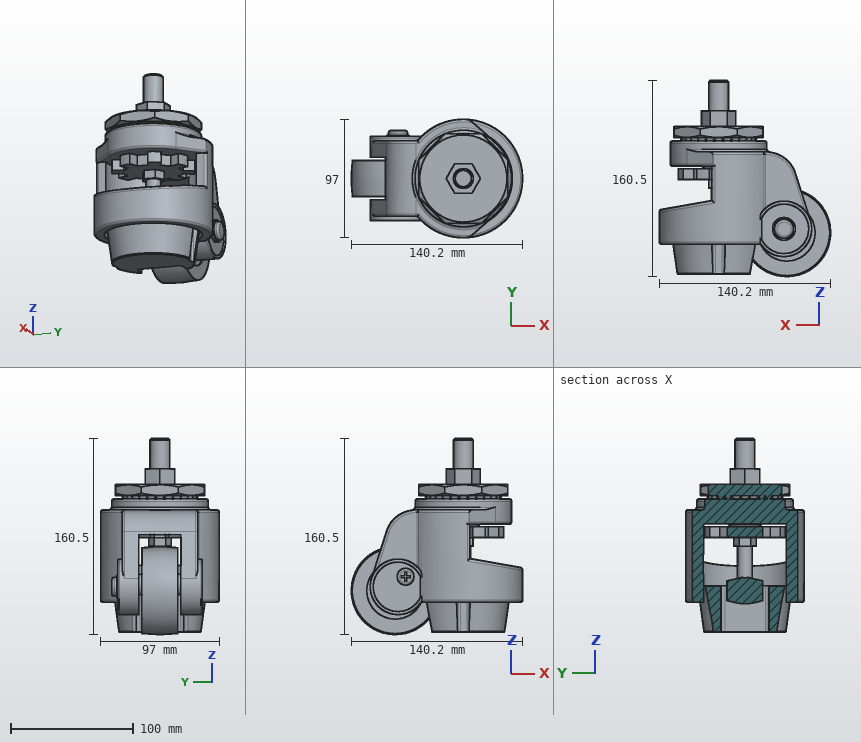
import cadquery as cq
import math


REACH = 120.0
OVERLAP = 1.0

STEM_TOP = 160.5
HEX_TOP = 135.5
FLANGE_TOP = 123.0
FLANGE_BOTTOM = 113.4
DISK_TOP = 111.0
HOUSING_TOP = 102.0
DISK_BOTTOM = 90.3
ADJUSTER_TOP = 88.3
ADJUSTER_BOTTOM = 79.3
SPINDLE_HEX_BOTTOM = 72.3
HOUSING_BOTTOM = 26.5
FOOT_TOP = 40.0
FOOT_BOTTOM = 2.0

OVERALL_LENGTH = 140.16

STEM_RADIUS = 8.15
STEM_CHAMFER = 1.5
HEX_ACROSS_FLATS = 24.3
FLANGE_ACROSS_FLATS = 73.0
FLANGE_FACE_RADIUS = 35.6
FLANGE_CHAMFER_ANGLE = math.radians(30)

DISK_RADIUS = 39.5
DISK_FILLET = 2.0
BALL_COUNT = 24
BALL_RADIUS = 3.5
BALL_RACE_RADIUS = 27.5
BALL_CENTRE_Z = FLANGE_BOTTOM

HOUSING_RADIUS = 48.5
HOUSING_FILLET = 2.0
CAVITY_RADIUS = 40.0
NECK_FILLET = 2.3
NECK_TANGENT_X = 26.0
NECK_CORNER_FILLET = 1.0
WINDOW_X = 5.4
WINDOW_SILL_Z = 62.3
WINDOW_SILL_ANGLE = math.radians(10)
WINDOW_FILLET = 2.3

FORK_HALF_WIDTH = 31.0
FORK_SHOULDER_X = -39.0
FORK_INNER_X = -30.0
FORK_SHOULDER_RADIUS = 25.0
FORK_FILLET = 2.0
FORK_CORNER_FILLET = 2.0
SLOT_HALF_WIDTH = 17.2
SLOT_TOP = 81.9
SLOT_END_X = -12.0
BOSS_X = -53.4
BOSS_Z = 39.1
BOSS_RADIUS = 22.7
BOSS_HALF_WIDTH = 33.4
BOSS_BEAD_RADIUS = 1.25

WHEEL_RADIUS = 36.0
WHEEL_X = HOUSING_RADIUS - OVERALL_LENGTH + WHEEL_RADIUS
WHEEL_HALF_WIDTH = 14.75
WHEEL_EDGE_RADIUS = 35.1
HUB_RADIUS = 23.25
HUB_RECESS = 0.5
SPACER_RADIUS = 8.25
SPACER_Z = 41.0

SCREW_X = -47.2
SCREW_Z = 47.4
SCREW_RADIUS = 6.9
SCREW_FACE_RADIUS = 5.1
SCREW_HEIGHT = 1.2
CROSS_LENGTH = 7.4
CROSS_WIDTH = 1.6
CROSS_DEPTH = 1.0

BOLT_RADIUS = 7.8
BOLT_HEIGHT = 5.9
BOLT_FILLET = 2.0
WASHER_RADIUS = 9.3
WASHER_THICKNESS = 2.1

ADJUSTER_RADIUS = 34.0
ADJUSTER_SLOTS = 8
ADJUSTER_SLOT_FLOOR_RADIUS = 24.5
ADJUSTER_SLOT_FLOOR_HALF = 4.5
ADJUSTER_SLOT_MOUTH_HALF = 7.75
COLLAR_RADIUS = 13.5
COLLAR_LOWER_RADIUS = 11.5
SPINDLE_HEX_FLATS = 16.2
SPINDLE_RADIUS = 6.1

FOOT_BOTTOM_RADIUS = 33.8
FOOT_DRAFT = 0.14
FOOT_EDGE_HEIGHT = 1.0
FOOT_EDGE_WIDTH = 0.4
FOOT_NOTCH_HALF = 19.5
FOOT_NOTCH_MOUTH_FILLET = 1.9
FOOT_NOTCH_FLOOR_FILLET = 2.8
FOOT_NOTCH_X = -13.0
GROOVE_FLOOR_Y = 31.8
GROOVE_FLOOR_HALF = 4.15
GROOVE_FILLET = 2.0
GROOVE_FLARE = 0.3


def region(x_range, y_range=(-REACH, REACH), z_range=(-REACH, 2 * REACH)):
    """Selector for items whose centre lies within the given limits."""
    low, high = zip(x_range, y_range, z_range)
    return cq.selectors.BoxSelector(low, high)


def cylinder(radius, z_low, z_high):
    """Cylinder about the swivel axis."""
    return cq.Workplane("XY").workplane(offset=z_low).circle(radius).extrude(z_high - z_low)


def cylinder_y(x, z, radius, y_low, y_high):
    """Cylinder parallel to the Y axis."""
    plane = cq.Plane(origin=(x, y_low, z), xDir=(1, 0, 0), normal=(0, 1, 0))
    return cq.Workplane(plane).circle(radius).extrude(y_high - y_low)


def box(x_range, y_range, z_range):
    """Box given by its limits along each axis."""
    size = [high - low for low, high in (x_range, y_range, z_range)]
    corner = (x_range[0], y_range[0], z_range[0])
    return cq.Workplane("XY").box(*size, centered=False).translate(corner)


def hexagon(across_flats, z_low, z_high, turn=0):
    """Hexagonal prism; its corners lie on the X axis when turn is 0."""
    corners = across_flats / math.cos(math.pi / 6)
    prism = cq.Workplane("XY").workplane(offset=z_low).polygon(6, corners).extrude(z_high - z_low)
    return prism.rotate((0, 0, 0), (0, 0, 1), turn)


def make_stem():
    """Chamfered stem standing on its hexagon."""
    stem = cylinder(STEM_RADIUS, HEX_TOP, STEM_TOP).faces(">Z").chamfer(STEM_CHAMFER)
    return stem.union(hexagon(HEX_ACROSS_FLATS, FLANGE_TOP, HEX_TOP))


def make_flange():
    """Octagonal flange with both faces chamfered to a circle like a nut."""
    half_corner = math.pi / 8
    corner_radius = FLANGE_ACROSS_FLATS / 2 / math.cos(half_corner)
    drop = (corner_radius - FLANGE_FACE_RADIUS) * math.tan(FLANGE_CHAMFER_ANGLE)
    octagon = (
        cq.Workplane("XY").workplane(offset=FLANGE_BOTTOM)
        .polygon(8, 2 * corner_radius).extrude(FLANGE_TOP - FLANGE_BOTTOM)
        .rotate((0, 0, 0), (0, 0, 1), math.degrees(half_corner))
    )
    turned = (
        cq.Workplane("XZ")
        .moveTo(0, FLANGE_BOTTOM)
        .lineTo(FLANGE_FACE_RADIUS, FLANGE_BOTTOM)
        .lineTo(corner_radius, FLANGE_BOTTOM + drop)
        .lineTo(corner_radius, FLANGE_TOP - drop)
        .lineTo(FLANGE_FACE_RADIUS, FLANGE_TOP)
        .lineTo(0, FLANGE_TOP)
        .close().revolve(360, (0, 0, 0), (0, 1, 0))
    )
    return octagon.intersect(turned)


def make_balls():
    """Ring of bearing balls joining the flange to the swivel disk."""
    ball = cq.Workplane("XY").sphere(BALL_RADIUS).translate((BALL_RACE_RADIUS, 0, BALL_CENTRE_Z))
    return [
        ball.rotate((0, 0, 0), (0, 0, 1), index * 360 / BALL_COUNT)
        for index in range(BALL_COUNT)
    ]


def neck_outline(height, z_low):
    """Housing outline with flat flanks tangent to the swivel disk on the +X side."""
    tangent_y = math.sqrt(DISK_RADIUS**2 - NECK_TANGENT_X**2)
    flank = math.sqrt(HOUSING_RADIUS**2 - DISK_RADIUS**2)
    corner_x = NECK_TANGENT_X - flank * tangent_y / DISK_RADIUS
    corner_y = tangent_y + flank * NECK_TANGENT_X / DISK_RADIUS
    return (
        cq.Workplane("XY").workplane(offset=z_low)
        .moveTo(corner_x, corner_y)
        .threePointArc((-HOUSING_RADIUS, 0), (corner_x, -corner_y))
        .lineTo(NECK_TANGENT_X, -tangent_y)
        .threePointArc((DISK_RADIUS, 0), (NECK_TANGENT_X, tangent_y))
        .close().extrude(height)
    )


def make_neck():
    """Top of the housing, blended into the swivel disk."""
    height = HOUSING_TOP - DISK_BOTTOM
    neck = neck_outline(height, DISK_BOTTOM)
    front = region((NECK_TANGENT_X / 2, REACH))
    corners = region((0, NECK_TANGENT_X / 2))
    neck = neck.faces("<Z").edges(front).fillet(DISK_FILLET)
    neck = neck.edges("|Z").edges(corners).fillet(NECK_CORNER_FILLET)
    rounded = cylinder(HOUSING_RADIUS, DISK_BOTTOM, HOUSING_TOP).faces(">Z").edges().fillet(HOUSING_FILLET)
    neck = neck.intersect(rounded)
    behind_shoulder = box((-REACH, FORK_SHOULDER_X), (-REACH, REACH), (DISK_BOTTOM, HOUSING_TOP))
    wall_height = 2 * DISK_FILLET
    wall = cylinder(HOUSING_RADIUS, DISK_BOTTOM, DISK_BOTTOM + wall_height)
    wall_x = (-REACH, WINDOW_X - WINDOW_FILLET)
    wall = wall.intersect(box(wall_x, (-REACH, REACH), (DISK_BOTTOM, DISK_BOTTOM + wall_height)))
    neck = neck.union(wall).cut(behind_shoulder)
    blend_radius = DISK_RADIUS + NECK_FILLET
    blend_top = HOUSING_TOP + NECK_FILLET
    blend_base = HOUSING_TOP - NECK_FILLET / 4
    mid_offset = NECK_FILLET * (1 - math.sqrt(0.5))
    blend = (
        cq.Workplane("XZ")
        .moveTo(0, blend_base)
        .lineTo(blend_radius, blend_base)
        .lineTo(blend_radius, HOUSING_TOP)
        .threePointArc((DISK_RADIUS + mid_offset, HOUSING_TOP + mid_offset), (DISK_RADIUS, blend_top))
        .lineTo(0, blend_top)
        .close().revolve(360, (0, 0, 0), (0, 1, 0))
    )
    blend = blend.intersect(neck_outline(2 * NECK_FILLET, HOUSING_TOP - NECK_FILLET))
    disk = cylinder(DISK_RADIUS, DISK_BOTTOM, DISK_TOP).edges().fillet(DISK_FILLET)
    return neck.union(blend).union(disk)


def make_shell():
    """Lower part of the housing with the access window opening to +X."""
    shell = cylinder(HOUSING_RADIUS, HOUSING_BOTTOM, DISK_BOTTOM)
    shell = shell.faces("<Z").edges().fillet(HOUSING_FILLET)
    far_z = WINDOW_SILL_Z - (REACH - WINDOW_X) * math.tan(WINDOW_SILL_ANGLE)
    window = (
        cq.Workplane("XZ")
        .moveTo(WINDOW_X, DISK_BOTTOM)
        .lineTo(REACH, DISK_BOTTOM)
        .lineTo(REACH, far_z)
        .lineTo(WINDOW_X, WINDOW_SILL_Z)
        .close().extrude(REACH, both=True)
    )
    shell = shell.cut(window)
    sill_normal = cq.Vector(math.sin(WINDOW_SILL_ANGLE), 0, math.cos(WINDOW_SILL_ANGLE))
    sill_rim = shell.faces(cq.selectors.ParallelDirSelector(sill_normal)).edges("not %LINE")
    jambs = shell.edges("|Z").edges(region((0, REACH)))
    return sill_rim.add(jambs).fillet(WINDOW_FILLET)


def make_fork():
    """Solid fork block: rounded shoulder, front face sloping tangent to the boss."""
    shoulder_z = HOUSING_TOP - FORK_SHOULDER_RADIUS
    run = FORK_SHOULDER_X - BOSS_X
    rise = shoulder_z - BOSS_Z
    lean = math.acos((BOSS_RADIUS - FORK_SHOULDER_RADIUS) / math.hypot(run, rise))
    normal = math.atan2(rise, run) + lean
    middle = (normal + math.pi / 2) / 2

    def on_shoulder(angle):
        return (
            FORK_SHOULDER_X + FORK_SHOULDER_RADIUS * math.cos(angle),
            shoulder_z + FORK_SHOULDER_RADIUS * math.sin(angle),
        )

    boss_point = (BOSS_X + BOSS_RADIUS * math.cos(normal), BOSS_Z + BOSS_RADIUS * math.sin(normal))
    block = (
        cq.Workplane("XZ")
        .moveTo(FORK_INNER_X, HOUSING_TOP)
        .lineTo(FORK_SHOULDER_X, HOUSING_TOP)
        .threePointArc(on_shoulder(middle), on_shoulder(normal))
        .lineTo(*boss_point)
        .lineTo(BOSS_X, BOSS_Z)
        .lineTo(FORK_INNER_X, BOSS_Z)
        .close().extrude(FORK_HALF_WIDTH, both=True)
    )
    above_boss = region((-REACH, 0), z_range=(BOSS_Z + OVERLAP, REACH))
    outline_edges = block.faces("<Y or >Y").edges("not |Z").edges(above_boss)
    return outline_edges.fillet(FORK_FILLET)


def make_corner_fillets():
    """Concave fillets where the fork cheeks meet the round housing."""
    centre_y = FORK_HALF_WIDTH + FORK_CORNER_FILLET
    centre_distance = HOUSING_RADIUS + FORK_CORNER_FILLET
    centre_x = -math.sqrt(centre_distance**2 - centre_y**2)
    touch = HOUSING_RADIUS / centre_distance
    height = HOUSING_TOP - FORK_FILLET - BOSS_Z
    filler = (
        cq.Workplane("XY").workplane(offset=BOSS_Z)
        .moveTo(centre_x, FORK_HALF_WIDTH)
        .lineTo(centre_x, FORK_HALF_WIDTH - OVERLAP)
        .lineTo(centre_x * touch + OVERLAP, FORK_HALF_WIDTH - OVERLAP)
        .lineTo(centre_x * touch, centre_y * touch)
        .close().extrude(height)
    )
    round_cut = cq.Workplane("XY").workplane(offset=BOSS_Z).center(centre_x, centre_y)
    filler = filler.cut(round_cut.circle(FORK_CORNER_FILLET).extrude(height))
    return filler.union(filler.mirror("XZ"))


def make_boss():
    """Wheel boss with a half-round bead around both end faces."""
    boss = cylinder_y(BOSS_X, BOSS_Z, BOSS_RADIUS, -BOSS_HALF_WIDTH, BOSS_HALF_WIDTH)
    bead_centre = BOSS_RADIUS - BOSS_BEAD_RADIUS
    for side in (-1, 1):
        bead = (
            cq.Workplane("XY")
            .center(bead_centre, side * BOSS_HALF_WIDTH)
            .circle(BOSS_BEAD_RADIUS)
            .revolve(360, (-bead_centre, 0, 0), (-bead_centre, 1, 0))
            .translate((BOSS_X, 0, BOSS_Z))
        )
        boss = boss.union(bead)
    return boss


def make_housing():
    """Hollow housing with the fork, wheel slot and neck."""
    slot = box((-REACH, SLOT_END_X), (-SLOT_HALF_WIDTH, SLOT_HALF_WIDTH), (0, SLOT_TOP))
    housing = make_shell().union(make_fork()).union(make_corner_fillets()).union(make_boss())
    housing = housing.cut(cylinder(CAVITY_RADIUS, 0, DISK_BOTTOM))
    return housing.cut(slot).union(make_neck())


def make_wheel():
    """Crowned wheel with a slightly recessed hub on both sides and its spacer."""
    hub_half = WHEEL_HALF_WIDTH - HUB_RECESS
    wheel = (
        cq.Workplane("XY")
        .moveTo(0, -hub_half)
        .lineTo(HUB_RADIUS, -hub_half)
        .lineTo(HUB_RADIUS, -WHEEL_HALF_WIDTH)
        .lineTo(WHEEL_EDGE_RADIUS, -WHEEL_HALF_WIDTH)
        .threePointArc((WHEEL_RADIUS, 0), (WHEEL_EDGE_RADIUS, WHEEL_HALF_WIDTH))
        .lineTo(HUB_RADIUS, WHEEL_HALF_WIDTH)
        .lineTo(HUB_RADIUS, hub_half)
        .lineTo(0, hub_half)
        .close().revolve(360, (0, 0, 0), (0, 1, 0))
        .translate((WHEEL_X, 0, WHEEL_RADIUS))
    )
    end = SLOT_HALF_WIDTH + OVERLAP
    return wheel.union(cylinder_y(BOSS_X, SPACER_Z, SPACER_RADIUS, -end, end))


def make_screw():
    """Low domed screw head with a cross recess on the -Y boss face."""
    bulge_radius = (SCREW_RADIUS + SCREW_FACE_RADIUS) / 2 + SCREW_HEIGHT / 4
    bulge_height = SCREW_HEIGHT * 3 / 4
    head = (
        cq.Workplane("XY")
        .moveTo(0, OVERLAP)
        .lineTo(SCREW_RADIUS, OVERLAP)
        .lineTo(SCREW_RADIUS, 0)
        .threePointArc((bulge_radius, -bulge_height), (SCREW_FACE_RADIUS, -SCREW_HEIGHT))
        .lineTo(0, -SCREW_HEIGHT)
        .close().revolve(360, (0, 0, 0), (0, 1, 0))
    )
    for size_x, size_z in ((CROSS_LENGTH, CROSS_WIDTH), (CROSS_WIDTH, CROSS_LENGTH)):
        arm = cq.Workplane("XY").box(size_x, 2 * CROSS_DEPTH, size_z)
        head = head.cut(arm.translate((0, -SCREW_HEIGHT, 0)))
    return head.translate((SCREW_X, -BOSS_HALF_WIDTH, SCREW_Z))


def make_bolt():
    """Domed bolt head and washer on the +Y boss face."""
    face_y = BOSS_HALF_WIDTH
    head = cylinder_y(BOSS_X, BOSS_Z, BOLT_RADIUS, face_y - OVERLAP, face_y + BOLT_HEIGHT)
    head = head.faces(">Y").edges().fillet(BOLT_FILLET)
    washer = cylinder_y(BOSS_X, BOSS_Z, WASHER_RADIUS, face_y - OVERLAP, face_y + WASHER_THICKNESS)
    return head.union(washer)


def make_adjuster():
    """Slotted adjuster wheel with its collar, hexagon and spindle."""
    wheel = cylinder(ADJUSTER_RADIUS, ADJUSTER_BOTTOM, ADJUSTER_TOP)
    flare = (ADJUSTER_SLOT_MOUTH_HALF - ADJUSTER_SLOT_FLOOR_HALF) / (
        math.sqrt(ADJUSTER_RADIUS**2 - ADJUSTER_SLOT_MOUTH_HALF**2) - ADJUSTER_SLOT_FLOOR_RADIUS
    )
    outer = ADJUSTER_RADIUS + OVERLAP
    outer_half = ADJUSTER_SLOT_FLOOR_HALF + flare * (outer - ADJUSTER_SLOT_FLOOR_RADIUS)
    slot = (
        cq.Workplane("XY").workplane(offset=ADJUSTER_BOTTOM)
        .moveTo(ADJUSTER_SLOT_FLOOR_RADIUS, -ADJUSTER_SLOT_FLOOR_HALF)
        .lineTo(outer, -outer_half)
        .lineTo(outer, outer_half)
        .lineTo(ADJUSTER_SLOT_FLOOR_RADIUS, ADJUSTER_SLOT_FLOOR_HALF)
        .close().extrude(ADJUSTER_TOP - ADJUSTER_BOTTOM)
    )
    for index in range(ADJUSTER_SLOTS):
        wheel = wheel.cut(slot.rotate((0, 0, 0), (0, 0, 1), index * 360 / ADJUSTER_SLOTS))
    collar = (
        cq.Workplane("XY").workplane(offset=ADJUSTER_TOP).circle(COLLAR_LOWER_RADIUS)
        .workplane(offset=DISK_BOTTOM - ADJUSTER_TOP).circle(COLLAR_RADIUS).loft()
    )
    spindle_hex = hexagon(SPINDLE_HEX_FLATS, SPINDLE_HEX_BOTTOM, ADJUSTER_BOTTOM, turn=30)
    spindle = cylinder(SPINDLE_RADIUS, FOOT_TOP - OVERLAP, SPINDLE_HEX_BOTTOM)
    return wheel.union(collar).union(spindle_hex).union(spindle)


def make_foot():
    """Tapered foot with a notch clearing the wheel and a flared groove on each flank."""
    height = FOOT_TOP - FOOT_BOTTOM
    top_radius = FOOT_BOTTOM_RADIUS + FOOT_DRAFT * height
    foot = (
        cq.Workplane("XY").workplane(offset=FOOT_BOTTOM).circle(FOOT_BOTTOM_RADIUS)
        .workplane(offset=height).circle(top_radius).loft()
        .faces("<Z").chamfer(FOOT_EDGE_HEIGHT, FOOT_EDGE_WIDTH)
    )
    notch = box((-REACH, FOOT_NOTCH_X), (-FOOT_NOTCH_HALF, FOOT_NOTCH_HALF), (FOOT_BOTTOM, FOOT_TOP))
    notch = notch.edges("|Z and >X").fillet(FOOT_NOTCH_FLOOR_FILLET)
    foot = foot.cut(notch)
    mouth_x = -math.sqrt(FOOT_BOTTOM_RADIUS**2 - FOOT_NOTCH_HALF**2)
    mouth = region((-REACH, mouth_x), z_range=(FOOT_BOTTOM + FOOT_EDGE_HEIGHT, FOOT_TOP - OVERLAP))
    foot = foot.edges(mouth).fillet(FOOT_NOTCH_MOUTH_FILLET)
    outer_y = top_radius + OVERLAP
    outer_half = GROOVE_FLOOR_HALF + GROOVE_FLARE * (outer_y - GROOVE_FLOOR_Y)
    for side in (-1, 1):
        groove = (
            cq.Workplane("XY").workplane(offset=FOOT_BOTTOM)
            .moveTo(-GROOVE_FLOOR_HALF, side * GROOVE_FLOOR_Y)
            .lineTo(GROOVE_FLOOR_HALF, side * GROOVE_FLOOR_Y)
            .lineTo(outer_half, side * outer_y)
            .lineTo(-outer_half, side * outer_y)
            .close().extrude(height)
        )
        floor_edges = "|Z and <Y" if side > 0 else "|Z and >Y"
        foot = foot.cut(groove.edges(floor_edges).fillet(GROOVE_FILLET))
    return foot


result = make_housing()
components = [
    make_stem(), make_flange(), make_wheel(), make_screw(), make_bolt(), make_adjuster(), make_foot()
]
for component in components + make_balls():
    result = result.union(component)